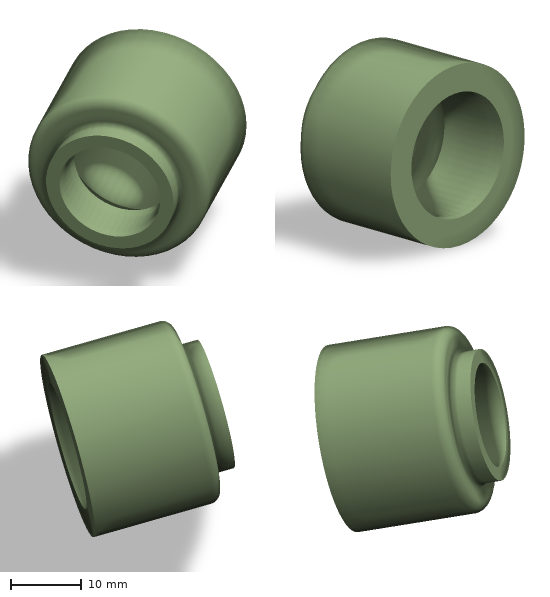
import cadquery as cq

body_diameter = 27.0
collar_diameter = 19.0
bore_diameter = 15.0
rear_bore_diameter = 18.63
total_length = 22.0
collar_length = 3.0
bore_length = 7.02
body_round = 1.5
collar_fillet = 0.5
groove_radius = 1.5

body_radius = body_diameter / 2
collar_radius = collar_diameter / 2
bore_radius = bore_diameter / 2
rear_bore_radius = rear_bore_diameter / 2


def disc(radius, start_y, end_y):
    """Cylinder around the Y axis between two positions along it."""
    return cq.Workplane("XZ", origin=(0, start_y, 0)).circle(radius).extrude(start_y - end_y)


def ring_groove():
    """Round-bottomed groove behind the bore shoulder, centred on the wall of the rear bore."""
    centre_y = bore_length + groove_radius
    return (
        cq.Workplane("XY")
        .center(rear_bore_radius, centre_y)
        .circle(groove_radius)
        .revolve(360, (-rear_bore_radius, 0), (-rear_bore_radius, 1))
    )


body = disc(body_radius, collar_length, total_length).faces("<Y").edges().fillet(body_round)
collar = disc(collar_radius, 0, collar_length)

outside = body.union(collar)
shoulder = outside.faces("|Y").faces(cq.selectors.NearestToPointSelector((0, collar_length, 0)))
outside = shoulder.edges(cq.selectors.RadiusNthSelector(0)).fillet(collar_fillet)

front_bore = disc(bore_radius, 0, total_length)
rear_bore = disc(rear_bore_radius, bore_length, total_length)
result = outside.cut(front_bore).cut(rear_bore).cut(ring_groove())